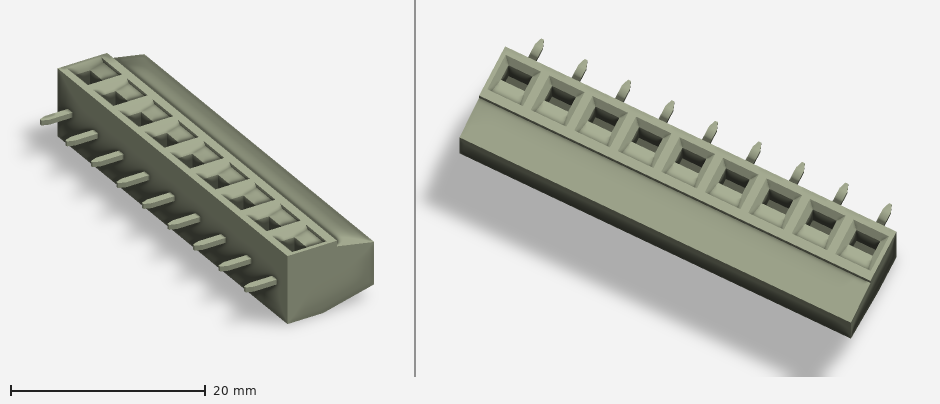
import cadquery as cq

pole_count = 9
length = 45.0
total_depth = 14.1
pitch = length / pole_count

body_depth = 10.5
body_height = 8.1
ledge_depth = 6.0
ledge_step = 0.68
top_slope_drop = 1.55
bottom_flat_depth = 4.3
back_bottom_height = 1.55

mouth_width = 4.1
mouth_front = 0.8
mouth_back = 5.0
funnel_depth = 0.68
funnel_inset = 0.68
ramp_start_depth = 0.4
well_back = 3.25
well_floor_height = 4.05
well_front = mouth_front + funnel_inset
well_width = mouth_width - 2 * funnel_inset

pin_length = total_depth - body_depth
pin_width = 0.9
pin_thickness = 0.6
pin_tip_width = 0.3
pin_taper_length = 0.8
pin_mid_height = 4.0


def make_body():
    profile = [
        (0, 0),
        (bottom_flat_depth, 0),
        (body_depth, back_bottom_height),
        (body_depth, body_height - top_slope_drop),
        (ledge_depth, body_height - ledge_step),
        (ledge_depth, body_height),
        (0, body_height),
    ]
    return cq.Workplane("YZ").polyline(profile).close().extrude(length)


def funnel_section(x_mid, width, front, depth):
    section = cq.Workplane("XY", origin=(x_mid, (front + mouth_back) / 2, body_height - depth))
    return section.rect(width, mouth_back - front).val()


def make_funnel(x_mid):
    mouth = funnel_section(x_mid, mouth_width, mouth_front, 0)
    bottom = funnel_section(x_mid, well_width, well_front, funnel_depth)
    funnel = cq.Workplane(cq.Solid.makeLoft([mouth, bottom], True))

    ramp_profile = [
        (mouth_front, body_height),
        (mouth_back, body_height),
        (mouth_back, body_height - ramp_start_depth),
        (well_back, body_height - funnel_depth),
        (mouth_front, body_height - funnel_depth),
    ]
    ramp_plane = cq.Workplane("YZ", origin=(x_mid - mouth_width / 2, 0, 0))
    return funnel.intersect(ramp_plane.polyline(ramp_profile).close().extrude(mouth_width))


def make_well(x_mid):
    floor = cq.Workplane("XY", origin=(x_mid, (well_front + well_back) / 2, well_floor_height))
    well_depth = body_height - funnel_depth - well_floor_height
    return floor.rect(well_width, well_back - well_front).extrude(well_depth)


def make_wire_entry(x_mid):
    return make_funnel(x_mid).union(make_well(x_mid))


def make_pin(x_mid):
    shoulder = pin_taper_length - pin_length
    outline = [
        (-pin_width / 2, 0),
        (-pin_width / 2, shoulder),
        (-pin_tip_width / 2, -pin_length),
        (pin_tip_width / 2, -pin_length),
        (pin_width / 2, shoulder),
        (pin_width / 2, 0),
    ]
    base = pin_mid_height - pin_thickness / 2
    return cq.Workplane("XY", origin=(x_mid, 0, base)).polyline(outline).close().extrude(pin_thickness)


result = make_body()
for pole in range(pole_count):
    pole_x = pitch / 2 + pole * pitch
    result = result.cut(make_wire_entry(pole_x))
    result = result.union(make_pin(pole_x))